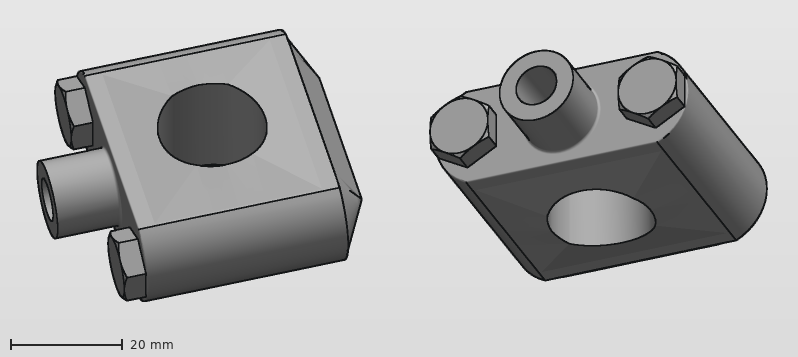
import cadquery as cq
import math

block_depth = 37.45
block_height = 18.95
block_length = 48.95
end_radius = 10.5
block_edge_fillet = 0.25

bore_radius = 9.8
bore_side_x = 9.6
bulge_height = 22.85
bulge_length = 35.95
bulge_depth = 31.05
crown_half_depth = 5.15
crown_inner_x = 5.45

roof_height = 5.1
roof_radius = 9.4
ridge_half_length = 14.6

nozzle_radius = 7.15
nozzle_length = 11.85
nozzle_fillet = 0.5
nozzle_bore_radius = 3.9
nozzle_bore_depth = 10.9
drill_tip_angle = 118.0

bolt_spacing = 36.5
bolt_across_flats = 11.2
bolt_head_height = 4.05
bolt_chamfer_angle = 30.0
half_hex_angle = 30.0

front_y = -block_depth / 2
back_y = block_depth / 2
block_top_z = block_height / 2
bulge_top_z = bulge_height / 2
hip_x = math.sqrt(bore_radius**2 - crown_half_depth**2)
overlap = 0.55


def front_plane(y):
    """XZ sketch plane at the given Y, with its normal toward -Y."""
    return cq.Workplane("XZ", origin=(0, y, 0))


def clamp_block():
    """Slab with arc ends and lightly rounded front and back edges."""
    tip_x = block_length / 2
    corner_x = tip_x - end_radius + math.sqrt(end_radius**2 - block_top_z**2)
    return (
        front_plane(front_y)
        .moveTo(-corner_x, block_top_z)
        .lineTo(corner_x, block_top_z)
        .threePointArc((tip_x, 0), (corner_x, -block_top_z))
        .lineTo(-corner_x, -block_top_z)
        .threePointArc((-tip_x, 0), (-corner_x, block_top_z))
        .close()
        .extrude(-block_depth)
        .faces("<Y or >Y")
        .edges()
        .fillet(block_edge_fillet)
    )


def crown(side):
    """Twisted wedge that carries the bulge side up to full height at the bore edge."""
    base_x = bulge_length / 2
    sections = []
    for y, edge_x in ((-crown_half_depth, hip_x), (0, bore_side_x), (crown_half_depth, hip_x)):
        corners = [
            (base_x, block_top_z),
            (edge_x, bulge_top_z),
            (crown_inner_x, bulge_top_z),
            (crown_inner_x, block_top_z),
        ]
        points = [cq.Vector(side * x, y, z) for x, z in corners]
        sections.append(cq.Wire.makePolygon(points, close=True))
    return cq.Workplane(cq.Solid.makeLoft(sections, True))


def bulge():
    """Hipped bulge on the +Z side; its hips run to the edge of the bore."""
    body = (
        cq.Workplane("XY", origin=(0, 0, block_top_z))
        .rect(bulge_length, bulge_depth)
        .workplane(offset=bulge_top_z - block_top_z)
        .rect(2 * hip_x, 2 * crown_half_depth)
        .loft(ruled=True)
    )
    for side in (-1, 1):
        body = body.union(crown(side))
    return body


def cross_bore():
    """Through bore: round front and back, with flatter arcs beside the crowns."""
    return (
        cq.Workplane("XY", origin=(0, 0, -bulge_top_z - overlap))
        .moveTo(hip_x, crown_half_depth)
        .threePointArc((0, bore_radius), (-hip_x, crown_half_depth))
        .threePointArc((-bore_side_x, 0), (-hip_x, -crown_half_depth))
        .threePointArc((0, -bore_radius), (hip_x, -crown_half_depth))
        .threePointArc((bore_side_x, 0), (hip_x, crown_half_depth))
        .close()
        .extrude(bulge_height + 2 * overlap)
    )


def roof():
    """Triangular ridge along X, closed by half cones at both ends."""
    ridge_y = back_y + roof_height
    body = (
        cq.Workplane("YZ", origin=(-ridge_half_length, 0, 0))
        .polyline([(back_y, -roof_radius), (ridge_y, 0), (back_y, roof_radius)])
        .close()
        .extrude(2 * ridge_half_length)
    )
    for x in (-ridge_half_length, ridge_half_length):
        cone = cq.Solid.makeCone(
            roof_radius, 0, roof_height, cq.Vector(x, back_y, 0), cq.Vector(0, 1, 0)
        )
        body = body.union(cq.Workplane(cone))
    return body


def nozzle():
    """Round nozzle with a concave fillet at its foot."""
    foot_radius = nozzle_radius + nozzle_fillet
    middle = nozzle_fillet * (1 - math.sqrt(0.5))
    return (
        cq.Workplane("XY")
        .moveTo(0, front_y + overlap)
        .lineTo(foot_radius, front_y + overlap)
        .lineTo(foot_radius, front_y)
        .threePointArc(
            (nozzle_radius + middle, front_y - middle),
            (nozzle_radius, front_y - nozzle_fillet),
        )
        .lineTo(nozzle_radius, front_y - nozzle_length)
        .lineTo(0, front_y - nozzle_length)
        .close()
        .revolve(360, (0, 0, 0), (0, 1, 0))
    )


def nozzle_bore():
    """Blind drilled hole with a conical bottom."""
    mouth_y = front_y - nozzle_length
    bottom_y = mouth_y + nozzle_bore_depth
    tip_y = bottom_y + nozzle_bore_radius / math.tan(math.radians(drill_tip_angle / 2))
    return (
        cq.Workplane("XY")
        .moveTo(0, mouth_y)
        .lineTo(nozzle_bore_radius, mouth_y)
        .lineTo(nozzle_bore_radius, bottom_y)
        .lineTo(0, tip_y)
        .close()
        .revolve(360, (0, 0, 0), (0, 1, 0))
    )


def bolt_head(x):
    """Hexagon head with chamfered corners and two flats facing along X."""
    corner_radius = bolt_across_flats / 2 / math.cos(math.radians(half_hex_angle))
    flat_radius = bolt_across_flats / 2
    chamfer_drop = (corner_radius - flat_radius) * math.tan(math.radians(bolt_chamfer_angle))
    hexagon = (
        front_plane(front_y + overlap)
        .polygon(6, 2 * corner_radius)
        .extrude(bolt_head_height + overlap)
        .rotate((0, 0, 0), (0, 1, 0), half_hex_angle)
    )
    head_y = front_y - bolt_head_height
    corner_trim = (
        cq.Workplane("XY")
        .polyline([
            (0, front_y + overlap),
            (corner_radius, front_y + overlap),
            (corner_radius, head_y + chamfer_drop),
            (flat_radius, head_y),
            (0, head_y),
        ])
        .close()
        .revolve(360, (0, 0, 0), (0, 1, 0))
    )
    return hexagon.intersect(corner_trim).translate((x, 0, 0))


upper_bulge = bulge()

result = clamp_block().union(upper_bulge).union(upper_bulge.mirror("XY"))
result = result.union(roof()).union(nozzle())
for bolt_x in (-bolt_spacing / 2, bolt_spacing / 2):
    result = result.union(bolt_head(bolt_x))
result = result.cut(cross_bore()).cut(nozzle_bore())